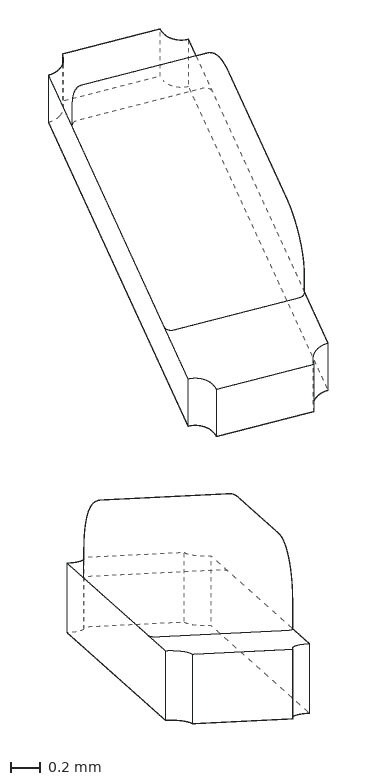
import cadquery as cq

length = 3.2
width = 1.0
base_height = 0.48
notch_radius = 0.15

lens_length = 2.0
lens_height = 0.6
lens_end_radius = 0.4
lens_rim_radius = 0.05


def make_base():
    """Board standing on Z = 0 with its four corners notched."""
    board = cq.Workplane("XY").box(length, width, base_height, centered=(True, True, False))
    notches = (
        cq.Workplane("XY")
        .rect(length, width, forConstruction=True)
        .vertices()
        .circle(notch_radius)
        .extrude(base_height)
    )
    return board.cut(notches)


def make_lens():
    """Lens resting on the board, with softened rims around both side faces."""
    block = (
        cq.Workplane("XY")
        .workplane(offset=base_height)
        .box(lens_length, width, lens_height, centered=(True, True, False))
    )
    rounded = block.edges("|Y and >Z").fillet(lens_end_radius)
    return rounded.faces("<Y or >Y").edges("not <Z").fillet(lens_rim_radius)


base = make_base()
lens = make_lens()

result = cq.Compound.makeCompound([base.val(), lens.val()])